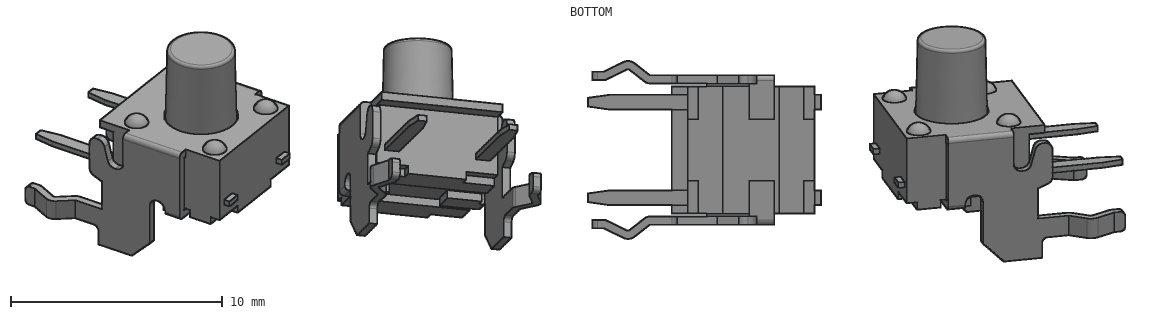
import cadquery as cq
import math


sheet = 0.4
bend_radius = 0.23
inner_radius = 0.4
wall_outer_y = 3.53
wall_inner_y = wall_outer_y - sheet
wall_left_x = -2.1
wall_right_x = 1.1
cover_left_x = -3.75

body_width = 6.0
body_half = body_width / 2
body_floor_z = -3.28
foot_height = 0.38
foot_bottom_z = body_floor_z - foot_height
foot_inner_x = 1.33
foot_notch_x = 0.51
foot_notch_y = 1.44

slot_bottom_z = -2.0
horn_left_x = -3.99
horn_top_z = -0.69
horn_lean = math.radians(15)
horn_right_x = -3.22
slope_start_z = -2.68
slope_end_z = -2.97

leg_left_x = -3.28
leg_foot_x = -3.49
leg_right_x = -0.59
leg_bottom_z = -6.5
leg_chamfer = 1.0
relief_top_z = -2.99
relief_radius = 0.43
retainer_left_x = 0.28
retainer_lip_x = -0.1
retainer_inner_y = foot_notch_y

arm_end_x = -7.5
arm_top_z = -4.49
arm_bottom_z = -5.49
arm_radius = 0.25
arm_end_y = 3.3
arm_bulge_y = 4.2
arm_peak_x = -5.8
arm_rise = math.radians(38)
arm_fall = math.radians(26)
peak_inner_radius = 0.1
peak_outer_radius = peak_inner_radius + sheet

pin_y = 2.25
pin_width = 0.7
pin_tip_width = 0.42
pin_top_z = -2.34
pin_thickness = 0.28
pin_left_x = -7.7
pin_right_x = 3.3
pin_taper = 1.01

button_top_z = 3.67
button_top_diameter = 3.21
button_base_diameter = 3.39
button_edge = 0.15
button_hole_diameter = 3.5
dome_spacing = 4.4
dome_height = 0.4
dome_sphere_radius = 0.6


def box(x_range, y_range, z_range):
    """Box between two limits on each axis."""
    size = [high - low for low, high in (x_range, y_range, z_range)]
    return cq.Workplane("XY").box(*size, centered=False).translate((x_range[0], y_range[0], z_range[0]))


def rounded_outline(plane, corners):
    """Closed outline through (u, v, radius) corners; a radius of 0 leaves the corner sharp."""
    stations = []
    for i, (u, v, radius) in enumerate(corners):
        corner = cq.Vector(u, v)
        before = (cq.Vector(*corners[i - 1][:2]) - corner).normalized()
        after = (cq.Vector(*corners[(i + 1) % len(corners)][:2]) - corner).normalized()
        half_angle = before.getAngle(after) / 2
        if radius == 0:
            stations.append((corner,))
            continue
        setback = radius / math.tan(half_angle)
        middle_distance = radius / math.sin(half_angle) - radius
        middle = corner + (before + after).normalized() * middle_distance
        stations.append((corner + before * setback, middle, corner + after * setback))

    outline = cq.Workplane(plane).moveTo(*stations[0][-1].toTuple()[:2])
    for station in stations[1:] + stations[:1]:
        points = [point.toTuple()[:2] for point in station]
        outline = outline.lineTo(*points[0])
        if len(points) > 1:
            outline = outline.threePointArc(points[1], points[2])
    return outline.close()


def wall_side_shape():
    """Side outline of a wall with its horn, slot, leg and spring arm, extruded across the part."""
    slot_left_x = horn_right_x + (horn_top_z - slot_bottom_z) * math.tan(horn_lean)
    corners = [
        (wall_right_x, 0, 0),
        (wall_left_x, 0, 0),
        (wall_left_x, slot_bottom_z, inner_radius),
        (slot_left_x, slot_bottom_z, inner_radius),
        (horn_right_x, horn_top_z, inner_radius),
        (horn_left_x, horn_top_z, inner_radius),
        (horn_left_x, slope_start_z, inner_radius),
        (leg_left_x, slope_end_z, 0),
        (leg_left_x, arm_top_z, 0),
        (arm_end_x, arm_top_z, arm_radius),
        (arm_end_x, arm_bottom_z, arm_radius),
        (leg_foot_x, arm_bottom_z, arm_radius),
        (leg_foot_x, leg_bottom_z, 0),
        (leg_right_x - leg_chamfer, leg_bottom_z, 0),
        (leg_right_x, leg_bottom_z + leg_chamfer, 0),
        (leg_right_x, relief_top_z, relief_radius),
        (retainer_left_x, relief_top_z, relief_radius),
        (retainer_left_x, foot_bottom_z, 0),
        (wall_right_x, foot_bottom_z, 0),
    ]
    return rounded_outline("XZ", corners).extrude(wall_outer_y * 2, both=True)


def wall_plan_shape():
    """Plan of a wall at +Y: a straight strip whose left end is bent into the bulged spring arm."""
    half_turn = (arm_rise + arm_fall) / 2
    tilt = (arm_rise - arm_fall) / 2
    inner_reach = peak_inner_radius / math.cos(half_turn)
    outer_reach = peak_outer_radius / math.cos(half_turn)
    center_x = arm_peak_x - inner_reach * math.sin(tilt)
    center_y = arm_bulge_y - peak_outer_radius
    peak_y = center_y + inner_reach * math.cos(tilt)
    start_x = arm_peak_x + (peak_y - wall_inner_y) / math.tan(arm_rise)
    end_x = arm_peak_x - (peak_y - arm_end_y) / math.tan(arm_fall)
    corners = [
        (wall_right_x, wall_inner_y, 0),
        (start_x, wall_inner_y, inner_radius),
        (arm_peak_x, peak_y, peak_inner_radius),
        (end_x, arm_end_y, 0),
        (arm_end_x, arm_end_y, 0),
        (arm_end_x, arm_end_y + sheet, 0),
        (end_x - sheet * math.tan(arm_fall / 2), arm_end_y + sheet, 0),
        (
            center_x + outer_reach * math.sin(tilt),
            center_y + outer_reach * math.cos(tilt),
            peak_outer_radius,
        ),
        (start_x + sheet * math.tan(arm_rise / 2), wall_outer_y, 0),
        (wall_right_x, wall_outer_y, 0),
    ]
    return rounded_outline("XY", corners).extrude(leg_bottom_z)


def cover_wall():
    """Wall at +Y with the folded roof strip above it and the retaining tab below it."""
    wall = wall_plan_shape().intersect(wall_side_shape())
    roof_strip = box((wall_left_x, wall_right_x), (0, wall_outer_y), (-sheet, 0))
    tab_z = (foot_bottom_z, body_floor_z)
    tab = box((retainer_left_x, wall_right_x), (retainer_inner_y, wall_outer_y), tab_z)
    tab_lip = box((retainer_lip_x, wall_right_x), (retainer_inner_y, wall_inner_y), tab_z)
    wall = wall.union(roof_strip).union(tab).union(tab_lip)
    margin = bend_radius / 10
    for fold_z in (0, foot_bottom_z):
        fold = cq.selectors.BoxSelector(
            (wall_left_x, wall_outer_y - margin, fold_z - margin),
            (wall_right_x, wall_outer_y + margin, fold_z + margin),
        )
        wall = wall.edges("|X").edges(fold).fillet(bend_radius)
    return wall


def housing():
    """Square housing with two foot bars that are notched at the outer corners."""
    sides = (-body_half, body_half)
    body = box(sides, sides, (body_floor_z, -sheet))
    foot_z = (foot_bottom_z, body_floor_z)
    bar = box((foot_inner_x, body_half - foot_notch_x), sides, foot_z)
    end = box((foot_inner_x, body_half), (-foot_notch_y, foot_notch_y), foot_z)
    foot = bar.union(end)
    return body.union(foot).union(foot.mirror("YZ"))


def pin():
    """Flat terminal centred on Y = 0, tapered at its left end."""
    taper_x = pin_left_x + pin_taper
    half = pin_width / 2
    tip_half = pin_tip_width / 2
    plan = (
        cq.Workplane("XY", origin=(0, 0, pin_top_z))
        .polyline([
            (pin_right_x, half), (taper_x, half), (pin_left_x, tip_half),
            (pin_left_x, -tip_half), (taper_x, -half), (pin_right_x, -half),
        ])
        .close()
    )
    return plan.extrude(-pin_thickness)


def button():
    """Tapered button that stands on the housing and passes through the cover."""
    top_radius = button_top_diameter / 2
    base_radius = button_base_diameter / 2
    profile = (
        cq.Workplane("XZ")
        .polyline([(0, -sheet), (base_radius, -sheet), (top_radius, button_top_z), (0, button_top_z)])
        .close()
    )
    return profile.revolve(360, (0, 0, 0), (0, 1, 0)).faces(">Z").edges().fillet(button_edge)


def domes():
    """Four low domes on the cover, one near each corner."""
    cap = cq.Workplane("XY").sphere(dome_sphere_radius)
    cap = cap.translate((0, 0, dome_height - dome_sphere_radius))
    reach = (-dome_sphere_radius, dome_sphere_radius)
    cap = cap.intersect(box(reach, reach, (0, dome_height)))
    pattern = cq.Workplane("XY").rect(dome_spacing, dome_spacing, forConstruction=True).vertices()
    return pattern.eachpoint(lambda place: cap.val().located(place), combine=False)


flat_cover = box((cover_left_x, body_half), (-body_half, body_half), (-sheet, 0))
near_wall = cover_wall()
cover = flat_cover.union(near_wall).union(near_wall.mirror("XZ"))
cover = cover.cut(cq.Workplane("XY").circle(button_hole_diameter / 2).extrude(-sheet))

result = cover.union(housing()).union(button())
for dome in domes().vals():
    result = result.union(cq.Workplane(dome))
for side in (-1, 1):
    result = result.union(pin().translate((0, side * pin_y, 0)))